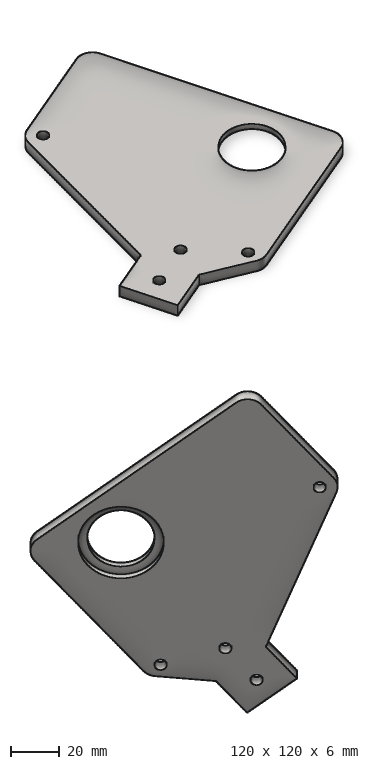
import cadquery as cq
import math

side = 120.0
thickness = 6.0
corner_radius = 7.3

tab_center_x = 87.1
tab_width = 26.4
tab_height = 20.0
tab_left = tab_center_x - tab_width / 2
tab_right = tab_center_x + tab_width / 2

large_hole_diameter = 27.5
large_hole_y = 97.1
counterbore_diameter = 35.0
counterbore_depth = 3.0
small_hole_diameter = 5.0
tab_hole_heights = (10.0, 30.0)

left_center = (corner_radius, 66.4)
right_hole_center = (112.7, 40.5)

right_slope = 45.0
right_corner_y = tab_height + (side - tab_right) * math.tan(math.radians(right_slope))
right_center = (
    side - corner_radius,
    right_corner_y + corner_radius * math.tan(math.radians(right_slope / 2)),
)


def on_corner(center, angle):
    """Point on a rounded corner at an angle in radians."""
    return (
        center[0] + corner_radius * math.cos(angle),
        center[1] + corner_radius * math.sin(angle),
    )


def tangent_angle(center, point):
    """Angle where a line from point touches the corner arc, on its lower side."""
    dx = point[0] - center[0]
    dy = point[1] - center[1]
    spread = math.acos(corner_radius / math.hypot(dx, dy))
    return math.atan2(dy, dx) - spread


def plate():
    tab_top_left = (tab_left, tab_height)
    tab_top_right = (tab_right, tab_height)
    left_angle = tangent_angle(left_center, tab_top_left)
    right_angle = math.radians(right_slope - 90)
    body = (
        cq.Workplane("XY")
        .moveTo(tab_left, 0)
        .lineTo(tab_right, 0)
        .lineTo(*tab_top_right)
        .lineTo(*on_corner(right_center, right_angle))
        .threePointArc(on_corner(right_center, right_angle / 2), on_corner(right_center, 0))
        .lineTo(side, side)
        .lineTo(0, side)
        .lineTo(*on_corner(left_center, math.pi))
        .threePointArc(
            on_corner(left_center, (left_angle - math.pi) / 2),
            on_corner(left_center, left_angle),
        )
        .lineTo(*tab_top_left)
        .close()
        .extrude(thickness)
    )
    upper_corners = cq.selectors.BoxSelector(
        (-1.2, side - 1.2, -1.2), (side + 1.2, side + 1.2, thickness + 1.2)
    )
    return body.edges("|Z").edges(upper_corners).fillet(corner_radius)


def holes(centers, diameter, depth=thickness):
    """Cutters rising from the underside of the plate."""
    return cq.Workplane("XY").pushPoints(centers).circle(diameter / 2).extrude(depth)


large_hole_center = (tab_center_x, large_hole_y)
small_hole_centers = [left_center, right_hole_center]
small_hole_centers += [(tab_center_x, y) for y in tab_hole_heights]

result = (
    plate()
    .cut(holes([large_hole_center], large_hole_diameter))
    .cut(holes([large_hole_center], counterbore_diameter, counterbore_depth))
    .cut(holes(small_hole_centers, small_hole_diameter))
)